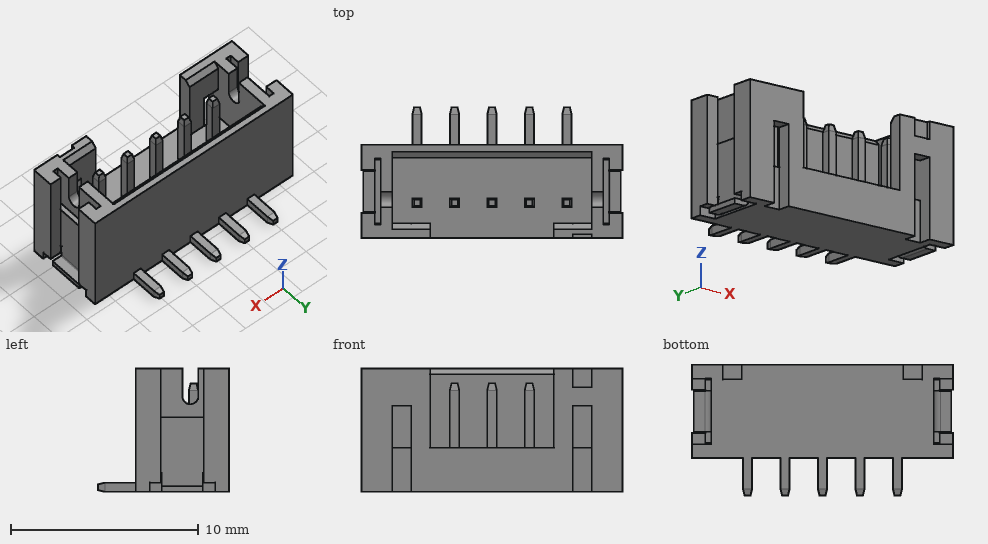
import cadquery as cq


LENGTH = 13.95
DEPTH = 5.0
HEIGHT = 6.6

END_WALL = 1.65
FRONT_WALL = 0.8
BACK_WALL = 0.68
FLOOR_Z = 2.36
LEAD_IN = 0.3
CAVITY_LENGTH = LENGTH - 2 * END_WALL

FRONT_GAP_LENGTH = 6.6
WINDOW_WIDTH = 1.0
WINDOW_HEIGHT = 4.59
MARK_SIZE = 1.0
MARK_DEPTH = 0.21

MIDDLE_Y = DEPTH / 2
RECESS_DEPTH = 0.73
RECESS_WIDTH = 2.29
SLOT_WIDTH = 3.5
FOOT_CLEARANCE_HEIGHT = 0.5
NOTCH_WIDTH = 0.84
NOTCH_Y = 2.06
NOTCH_BOTTOM_Z = 4.69

PIN_COUNT = 5
PIN_ROW_LENGTH = 8.01
PIN_PITCH = PIN_ROW_LENGTH / (PIN_COUNT - 1)
PIN_SIZE = 0.5
PIN_TIP_SIZE = 0.32
PIN_TAPER = 0.38
PIN_Y = 1.9
PIN_TOP_Z = 5.8
TAIL_REACH = 2.01

TAB_THICKNESS = 0.3
TAB_WIDTH = 3.4
TAB_HEIGHT = 3.98
FOOT_WIDTH = 2.19
SHOULDER_Z = 1.02
FOOT_SETBACK = 0.1
BEND_RADIUS = 0.04

SLOT_OUTER_X = LENGTH / 2 - RECESS_DEPTH
SLOT_INNER_X = SLOT_OUTER_X - TAB_THICKNESS


def box(x_range, y_range, z_range):
    """Box between two limits on each axis."""
    (x0, x1), (y0, y1), (z0, z1) = x_range, y_range, z_range
    return cq.Workplane("XY").box(x1 - x0, y1 - y0, z1 - z0, centered=False).translate((x0, y0, z0))


def across(middle, width):
    """Limits of a span of the given width about its middle."""
    return middle - width / 2, middle + width / 2


def both_ends(shape):
    """Shape at the +X end together with its mirror image at the -X end."""
    return shape.add(shape.mirror("YZ")).combine()


def cavity():
    """Mating cavity with a lead-in chamfer along its front and back rims."""
    back_y = DEPTH - BACK_WALL
    profile = [
        (FRONT_WALL, FLOOR_Z),
        (back_y, FLOOR_Z),
        (back_y, HEIGHT - LEAD_IN),
        (back_y + LEAD_IN, HEIGHT),
        (FRONT_WALL - LEAD_IN, HEIGHT),
        (FRONT_WALL, HEIGHT - LEAD_IN),
    ]
    return cq.Workplane("YZ").polyline(profile).close().extrude(CAVITY_LENGTH / 2, both=True)


def front_gap():
    """Wide opening in the front wall, down to the cavity floor."""
    return box(across(0, FRONT_GAP_LENGTH), (0, FRONT_WALL), (FLOOR_Z, HEIGHT))


def front_windows():
    """Tall windows in the front wall, lined up with the ends of the cavity."""
    outer_x = CAVITY_LENGTH / 2
    return both_ends(box((outer_x - WINDOW_WIDTH, outer_x), (0, FRONT_WALL), (0, WINDOW_HEIGHT)))


def polarity_mark():
    """Shallow square pocket in the front face at the +X end of the cavity."""
    outer_x = CAVITY_LENGTH / 2
    return box((outer_x - MARK_SIZE, outer_x), (0, MARK_DEPTH), (HEIGHT - MARK_SIZE, HEIGHT))


def end_recesses():
    """Full-height recess in each end face."""
    y_range = across(MIDDLE_Y, RECESS_WIDTH)
    return both_ends(box((SLOT_OUTER_X, LENGTH / 2), y_range, (0, HEIGHT)))


def tab_slots():
    """Full-height slot behind each recess, with room for the tab foot at the bottom."""
    y_range = across(MIDDLE_Y, SLOT_WIDTH)
    slot = box((SLOT_INNER_X, SLOT_OUTER_X), y_range, (0, HEIGHT))
    foot_room = box((SLOT_OUTER_X, LENGTH / 2), y_range, (0, FOOT_CLEARANCE_HEIGHT))
    return both_ends(slot.union(foot_room))


def end_notches():
    """Round-bottomed notch through the inner web of each end wall."""
    radius = NOTCH_WIDTH / 2
    arc_z = NOTCH_BOTTOM_Z + radius
    return (
        cq.Workplane("YZ")
        .moveTo(NOTCH_Y - radius, HEIGHT)
        .lineTo(NOTCH_Y - radius, arc_z)
        .threePointArc((NOTCH_Y, NOTCH_BOTTOM_Z), (NOTCH_Y + radius, arc_z))
        .lineTo(NOTCH_Y + radius, HEIGHT)
        .close()
        .extrude(SLOT_INNER_X, both=True)
    )


def tapered_bar(length):
    """Square bar rising along +Z from the origin, with a tapered tip."""
    shank = cq.Workplane("XY").rect(PIN_SIZE, PIN_SIZE).extrude(length - PIN_TAPER)
    tip = (
        cq.Workplane("XY", origin=(0, 0, length - PIN_TAPER))
        .rect(PIN_SIZE, PIN_SIZE)
        .workplane(offset=PIN_TAPER)
        .rect(PIN_TIP_SIZE, PIN_TIP_SIZE)
        .loft()
    )
    return shank.union(tip)


def contact(x):
    """Contact at one X: a post in the cavity and a tail along the board behind the housing."""
    post = tapered_bar(PIN_TOP_Z).translate((x, PIN_Y, 0))
    tail = (
        tapered_bar(DEPTH + TAIL_REACH - PIN_Y)
        .rotate((0, 0, 0), (1, 0, 0), -90)
        .translate((x, PIN_Y, PIN_SIZE / 2))
    )
    return post.union(tail)


def make_housing():
    """Housing and its contacts as one solid."""
    body = box(across(0, LENGTH), (0, DEPTH), (0, HEIGHT))
    cutters = [
        cavity(),
        front_gap(),
        front_windows(),
        polarity_mark(),
        end_recesses(),
        tab_slots(),
        end_notches(),
    ]
    for cutter in cutters:
        body = body.cut(cutter)
    for index in range(PIN_COUNT):
        body = body.union(contact(index * PIN_PITCH - PIN_ROW_LENGTH / 2))
    return body


def make_tab():
    """Solder tab at the +X end: an upright plate whose narrow lower part bends outward into a foot."""
    plate = box((SLOT_INNER_X, SLOT_OUTER_X), across(MIDDLE_Y, TAB_WIDTH), (SHOULDER_Z, TAB_HEIGHT))
    foot_edge_x = LENGTH / 2 - FOOT_SETBACK
    bent_strip = (
        cq.Workplane("XZ", origin=(0, MIDDLE_Y, 0))
        .moveTo(SLOT_INNER_X, SHOULDER_Z)
        .lineTo(SLOT_INNER_X, BEND_RADIUS + TAB_THICKNESS)
        .radiusArc((SLOT_OUTER_X + BEND_RADIUS, 0), -(BEND_RADIUS + TAB_THICKNESS))
        .lineTo(foot_edge_x, 0)
        .lineTo(foot_edge_x, TAB_THICKNESS)
        .lineTo(SLOT_OUTER_X + BEND_RADIUS, TAB_THICKNESS)
        .radiusArc((SLOT_OUTER_X, TAB_THICKNESS + BEND_RADIUS), BEND_RADIUS)
        .lineTo(SLOT_OUTER_X, SHOULDER_Z)
        .close()
        .extrude(FOOT_WIDTH / 2, both=True)
    )
    return plate.union(bent_strip)


housing = make_housing()
right_tab = make_tab()
tabs = [right_tab, right_tab.mirror("YZ")]

result = cq.Compound.makeCompound([housing.val(), *[tab.val() for tab in tabs]])